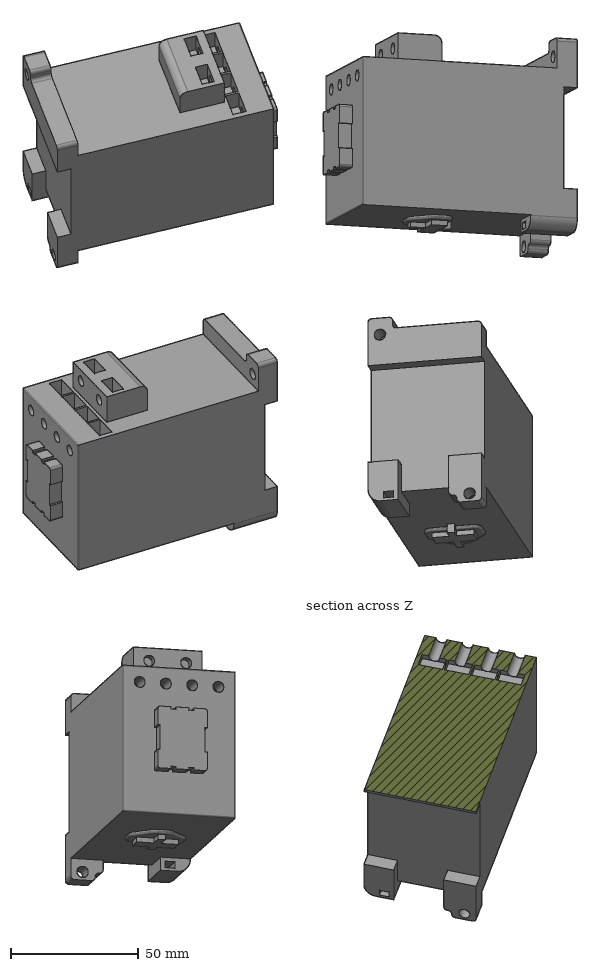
import cadquery as cq
import math

width = 45.7
length = 94.2
height = 79.8
mid_x = width / 2

body_bottom = 8.5
body_top = 67.5
body_front = 88.8
front_edge_radius = 0.4
mid_z = (body_bottom + body_top) / 2

channel_depth = 5.6
channel_bottom = 19.8
channel_top = 60.2
plate_thickness = 8.5
shoulder_z = 75.2
ear_width = 9.9
left_foot_width = 12.15
left_foot_depth = 19.3
left_foot_radius = 5.0
right_foot_left = 32.5
foot_bottom = 3.2
corner_radius = 1.5
screw_hole_diameter = 4.5
hole_inset = 4.8
hole_top_drop = 7.0
hole_bottom_rise = 3.3
slot_left, slot_right = 6.3, 10.3
slot_bottom, slot_top = 4.3, 7.0

block_width = 27.9
block_back, block_front = 53.0, 71.2
block_top = 79.5
block_radius = 3.2
block_well_length = 9.0
block_well_pitch = 15.0
block_well_back, block_well_front = 62.7, 67.6

well_length = 9.8
well_pitch = 10.6
well_count = 4
well_back, well_front = 72.6, 78.1
well_depth = 8.5
wire_hole_diameter = 4.3
block_wire_drop = 5.2
body_wire_drop = 6.5

boss_width = 20.1
boss_height = 25.0
boss_radius = 0.9
groove_depth = 0.9
groove_width = 2.1
groove_spacing = 7.3
side_groove_width = 9.9

collar_width = 23.4
collar_back, collar_front = 47.0, 63.8
collar_taper = 8.0
collar_thickness = 1.7
collar_back_radius = 3.2
collar_side_radius = 2.3
collar_front_radius = 4.5
collar_edge_radius = 0.8
key_bottom = 4.8
key_length = 17.0
key_back = 45.0
key_rib_width = 2.9
key_arm_back, key_arm_front = 48.9, 55.6


def box(x, y, z):
    """Box spanning the (low, high) pairs along X, Y and Z."""
    solid = cq.Workplane("XY").box(x[1] - x[0], y[1] - y[0], z[1] - z[0], centered=False)
    return solid.translate((x[0], y[0], z[0]))


def span(centre, size):
    """(low, high) pair of the given size about a centre."""
    return (centre - size / 2, centre + size / 2)


def cylinder_y(x, z, diameter, y):
    """Cylinder along Y between the (low, high) pair y."""
    axis = cq.Vector(0, 1, 0)
    return cq.Workplane(cq.Solid.makeCylinder(diameter / 2, y[1] - y[0], cq.Vector(x, y[0], z), axis))


def rounded_outline(plane, corners):
    """Closed outline through (u, v, radius) corners, each rounded by a tangent arc."""
    outline = None
    for i, (u, v, radius) in enumerate(corners):
        corner = cq.Vector(u, v)
        before = (cq.Vector(*corners[i - 1][:2]) - corner).normalized()
        after = (cq.Vector(*corners[(i + 1) % len(corners)][:2]) - corner).normalized()
        half_angle = before.getAngle(after) / 2
        start = corner + before * (radius / math.tan(half_angle))
        end = corner + after * (radius / math.tan(half_angle))
        bisector = (before + after).normalized()
        middle = corner + bisector * (radius / math.sin(half_angle) - radius)
        if outline is None:
            outline = cq.Workplane(plane).moveTo(start.x, start.y)
        else:
            outline = outline.lineTo(start.x, start.y)
        if radius > 0:
            outline = outline.threePointArc((middle.x, middle.y), (end.x, end.y))
    return outline.close()


def plate_from_back(corners, depth):
    """Plate with an XZ outline, reaching from the mounting face along +Y."""
    return rounded_outline("XZ", corners).extrude(-depth)


def make_housing():
    housing = box((0, width), (0, body_front), (body_bottom, body_top))
    housing = housing.faces(">Y").edges().fillet(front_edge_radius)
    housing = housing.cut(box((0, width), (0, channel_depth), (channel_bottom, channel_top)))
    return housing.cut(
        box((left_foot_width, right_foot_left), (0, channel_depth), (body_bottom, channel_bottom))
    )


def make_top_plate():
    plate = plate_from_back(
        [
            (0, channel_top, 0),
            (width, channel_top, 0),
            (width, shoulder_z, corner_radius),
            (ear_width, shoulder_z, corner_radius),
            (ear_width, height, corner_radius),
            (0, height, corner_radius),
        ],
        plate_thickness,
    )
    hole = cylinder_y(hole_inset, height - hole_top_drop, screw_hole_diameter, (0, plate_thickness))
    return plate.cut(hole)


def make_left_foot():
    foot = plate_from_back(
        [
            (0, foot_bottom, left_foot_radius),
            (left_foot_width, foot_bottom, 0),
            (left_foot_width, channel_bottom, 0),
            (0, channel_bottom, 0),
        ],
        left_foot_depth,
    )
    return foot.cut(box((slot_left, slot_right), (0, left_foot_depth), (slot_bottom, slot_top)))


def make_right_foot():
    tip_left = right_foot_left + foot_bottom
    foot = plate_from_back(
        [
            (tip_left, 0, corner_radius),
            (width, 0, corner_radius),
            (width, channel_bottom, 0),
            (right_foot_left, channel_bottom, 0),
            (right_foot_left, foot_bottom, corner_radius),
            (tip_left, foot_bottom, corner_radius),
        ],
        plate_thickness,
    )
    hole = cylinder_y(width - hole_inset, hole_bottom_rise, screw_hole_diameter, (0, plate_thickness))
    return foot.cut(hole)


def make_terminal_block():
    block = box(span(mid_x, block_width), (block_back, block_front), (body_top, block_top))
    block = block.edges("|X and >Z and <Y").fillet(block_radius)
    well_y = (block_well_back, block_well_front)
    well_z = (block_top - well_depth, block_top)
    wire_z = block_top - block_wire_drop
    for side in (-1, 1):
        x = mid_x + side * block_well_pitch / 2
        block = block.cut(box(span(x, block_well_length), well_y, well_z))
        block = block.cut(cylinder_y(x, wire_z, wire_hole_diameter, (block_well_front, block_front)))
    return block


def cut_terminal_wells(housing):
    """Row of wells in the housing top, each met by a wire hole from the front."""
    well_z = (body_top - well_depth, body_top)
    wire_z = body_top - body_wire_drop
    for i in range(well_count):
        x = mid_x + (i - (well_count - 1) / 2) * well_pitch
        housing = housing.cut(box(span(x, well_length), (well_back, well_front), well_z))
        housing = housing.cut(cylinder_y(x, wire_z, wire_hole_diameter, (well_front, body_front)))
    return housing


def make_boss():
    depth = (body_front, length)
    boss = box(span(mid_x, boss_width), depth, span(mid_z, boss_height)).edges("|Y").fillet(boss_radius)
    for side in (-1, 1):
        groove_z = mid_z + side * boss_height / 2
        for groove_x in (mid_x - groove_spacing / 2, mid_x + groove_spacing / 2):
            boss = boss.cut(box(span(groove_x, groove_width), depth, span(groove_z, 2 * groove_depth)))
        side_x = mid_x + side * boss_width / 2
        boss = boss.cut(box(span(side_x, 2 * groove_depth), depth, span(mid_z, side_groove_width)))
    return boss


def make_collar():
    left, right = span(mid_x, collar_width)
    taper_start = collar_front - collar_taper
    outline = rounded_outline(
        "XY",
        [
            (left, collar_back, collar_back_radius),
            (right, collar_back, collar_back_radius),
            (right, taper_start, collar_side_radius),
            (right - collar_taper, collar_front, collar_front_radius),
            (left + collar_taper, collar_front, collar_front_radius),
            (left, taper_start, collar_side_radius),
        ],
    )
    collar = outline.extrude(collar_thickness).faces("<Z or >Z").edges().fillet(collar_edge_radius)
    return collar.translate((0, 0, body_bottom - collar_thickness))


def make_key():
    z = (key_bottom, body_bottom)
    rib = box(span(mid_x, key_rib_width), (key_back, key_back + key_length), z)
    return rib.union(box(span(mid_x, key_length), (key_arm_back, key_arm_front), z))


result = cut_terminal_wells(make_housing())
for feature in (
    make_top_plate(),
    make_left_foot(),
    make_right_foot(),
    make_terminal_block(),
    make_boss(),
    make_collar(),
    make_key(),
):
    result = result.union(feature)